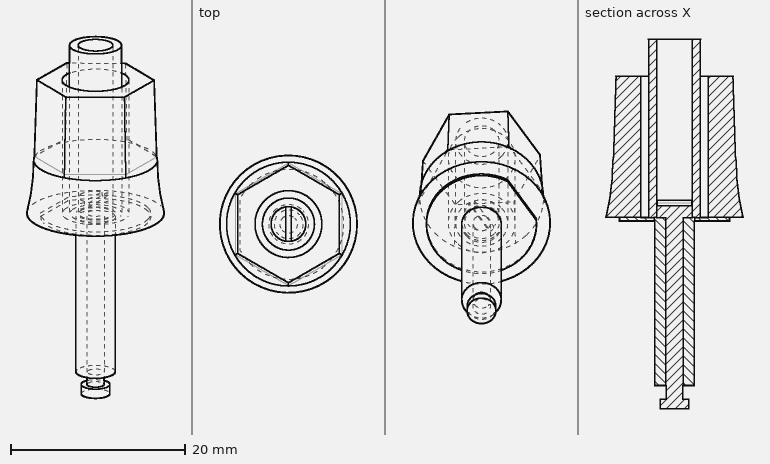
import cadquery as cq
import math

TOTAL_HEIGHT = 42.5
TIP_HEIGHT = 1.15
BARREL_BOTTOM = 2.68
WASHER_BOTTOM = 21.6
WASHER_THICKNESS = 0.42
CAP_BOTTOM = WASHER_BOTTOM + WASHER_THICKNESS
SKIRT_TOP = 28.5
HEX_BOTTOM = 28.95
CAP_TOP = 38.25

SKIRT_BOTTOM_RADIUS = 15.8 / 2
SKIRT_TOP_RADIUS = 14.25 / 2
HEX_TOP_FLATS = 11.7
HEX_BOTTOM_FLATS = 12.2
CORNER_ANGLES = range(30, 390, 60)
CAP_BORE_DIAMETER = 7.7

WASHER_DIAMETER = 12.65
WASHER_FLAT_DISTANCE = 5.55

TUBE_DIAMETER = 6.0
TUBE_BORE_DIAMETER = 4.0
BARREL_DIAMETER = 4.55
STEM_DIAMETER = 2.0
TIP_DIAMETER = 3.3
SCREW_HEAD_HEIGHT = 2.0
SLOT_WIDTH = 0.65
SLOT_DEPTH = 0.65


def cylinder(diameter, bottom, top):
    """Upright cylinder on the Z axis between two heights."""
    return cq.Workplane("XY").workplane(offset=bottom).circle(diameter / 2).extrude(top - bottom)


def ring_point(radius, angle, height):
    """Point at an angle in degrees around the Z axis."""
    radians = math.radians(angle)
    return cq.Vector(radius * math.cos(radians), radius * math.sin(radians), height)


def hexagon_wire(across_flats, height):
    """Horizontal hexagon outline with corners on the +Y and -Y sides."""
    corner_radius = across_flats / math.sqrt(3)
    corners = [ring_point(corner_radius, angle, height) for angle in CORNER_ANGLES]
    return cq.Wire.makePolygon(corners, close=True)


def six_arc_circle(radius, height):
    """Horizontal circle split into six arcs that start at the hexagon corner angles."""
    arcs = []
    for angle in CORNER_ANGLES:
        start, middle, end = [ring_point(radius, angle + step, height) for step in (0, 30, 60)]
        arcs.append(cq.Edge.makeThreePointArc(start, middle, end))
    return cq.Wire.assembleEdges(arcs)


def ruled_solid(lower_outline, upper_outline):
    """Solid with straight walls from one outline to another."""
    return cq.Workplane(obj=cq.Solid.makeLoft([lower_outline, upper_outline], True))


def make_skirt():
    """Skirt with a concave flare, vertical at its top edge."""
    flare_height = SKIRT_TOP - CAP_BOTTOM
    flare_width = SKIRT_BOTTOM_RADIUS - SKIRT_TOP_RADIUS
    arc_radius = (flare_height**2 + flare_width**2) / (2 * flare_width)
    half_angle = math.atan2(flare_width, flare_height)
    flare_middle = (
        SKIRT_TOP_RADIUS + arc_radius * (1 - math.cos(half_angle)),
        SKIRT_TOP - arc_radius * math.sin(half_angle),
    )
    return (
        cq.Workplane("XZ")
        .moveTo(0, CAP_BOTTOM)
        .lineTo(0, SKIRT_TOP)
        .lineTo(SKIRT_TOP_RADIUS, SKIRT_TOP)
        .threePointArc(flare_middle, (SKIRT_BOTTOM_RADIUS, CAP_BOTTOM))
        .close()
        .revolve(360, (0, 0, 0), (0, 1, 0))
    )


def make_cap():
    """Skirt, round-to-hexagon shoulder and hexagon in one piece, bored through."""
    bottom_hexagon = hexagon_wire(HEX_BOTTOM_FLATS, HEX_BOTTOM)
    shoulder = ruled_solid(six_arc_circle(SKIRT_TOP_RADIUS, SKIRT_TOP), bottom_hexagon)
    hexagon = ruled_solid(bottom_hexagon, hexagon_wire(HEX_TOP_FLATS, CAP_TOP))
    bore = cylinder(CAP_BORE_DIAMETER, CAP_BOTTOM, CAP_TOP)
    return make_skirt().union(shoulder).union(hexagon).cut(bore)


def make_washer():
    """Flat washer around the barrel, cut straight on its -X side."""
    disc = cylinder(WASHER_DIAMETER, WASHER_BOTTOM, CAP_BOTTOM)
    keep_length = WASHER_FLAT_DISTANCE + WASHER_DIAMETER / 2
    keep_box = cq.Workplane("XY").box(
        keep_length, WASHER_DIAMETER, WASHER_THICKNESS, centered=(False, True, False)
    ).translate((-WASHER_FLAT_DISTANCE, 0, WASHER_BOTTOM))
    hole = cylinder(BARREL_DIAMETER, WASHER_BOTTOM, CAP_BOTTOM)
    return disc.intersect(keep_box).cut(hole)


def make_tube():
    """Tube standing on the washer and the barrel, inside the cap bore."""
    bore = cylinder(TUBE_BORE_DIAMETER, CAP_BOTTOM, TOTAL_HEIGHT)
    return cylinder(TUBE_DIAMETER, CAP_BOTTOM, TOTAL_HEIGHT).cut(bore)


def make_barrel():
    """Long barrel below the tube, bored for the plunger stem."""
    bore = cylinder(STEM_DIAMETER, BARREL_BOTTOM, CAP_BOTTOM)
    return cylinder(BARREL_DIAMETER, BARREL_BOTTOM, CAP_BOTTOM).cut(bore)


def make_slot(top):
    """Screwdriver slot along Y with a half-round floor."""
    half_width = SLOT_WIDTH / 2
    floor_edge = top - SLOT_DEPTH + half_width
    return (
        cq.Workplane("XZ")
        .moveTo(-half_width, top)
        .lineTo(-half_width, floor_edge)
        .threePointArc((0, top - SLOT_DEPTH), (half_width, floor_edge))
        .lineTo(half_width, top)
        .close()
        .extrude(TUBE_BORE_DIAMETER / 2, both=True)
    )


def make_plunger():
    """Stem with a wide tip at the bottom and a slotted head in the tube bore."""
    head_top = CAP_BOTTOM + SCREW_HEAD_HEIGHT
    tip = cylinder(TIP_DIAMETER, 0, TIP_HEIGHT)
    stem = cylinder(STEM_DIAMETER, TIP_HEIGHT, CAP_BOTTOM)
    head = cylinder(TUBE_BORE_DIAMETER, CAP_BOTTOM, head_top)
    slot = make_slot(head_top)
    return tip.union(stem).union(head.cut(slot))


cap = make_cap()
washer = make_washer()
tube = make_tube()
barrel = make_barrel()
plunger = make_plunger()

result = cq.Compound.makeCompound([cap.val(), washer.val(), tube.val(), barrel.val(), plunger.val()])